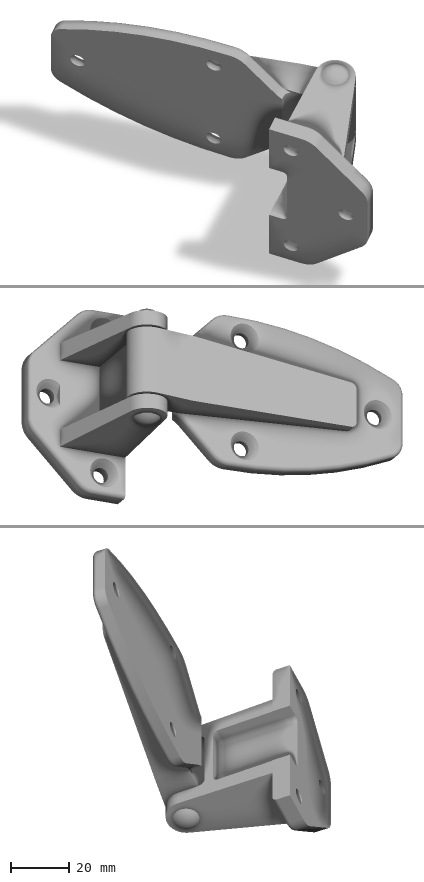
import cadquery as cq
import math


PIN_X = 99.8
PIN_Y = 42.0
PIN_DIAMETER = 6.4
KNUCKLE_RADIUS = 7.0
KNUCKLE_TOP_Y = PIN_Y + KNUCKLE_RADIUS
HEAD_RADIUS = 4.6
HEAD_HEIGHT = 2.0
HEAD_SEAT_Z = 19.0

TOP_EDGE_RADIUS = 1.5
SCREW_HOLE_DIAMETER = 5.5
COUNTERSINK_DIAMETER = 10.5
COUNTERSINK_ANGLE = 82

BASE_LEFT_X = 91.8
BASE_RIGHT_X = 128.0
BASE_THICKNESS = 6.4
BASE_HALF_HEIGHT = 33.98
BASE_BEVEL = 21.1
BASE_CORNER_RADIUS = 8.0
BASE_HOLES = [(PIN_X, 26.0), (PIN_X, -26.0), (120.0, 0)]

ARM_FOOT_X = 116.5
ARM_FOOT_HALF_WIDTH = 19.3
ARM_TIP_HALF_WIDTH = 18.0
ARM_INNER_HALF_GAP = 12.8
WEB_TOP_Y = 32.0
SLOT_CORNER_RADIUS = 2.5
POCKET_FLOOR_X = 98.4
WEB_WALL = 3.1
POCKET_TOP_Y = WEB_TOP_Y - WEB_WALL
POCKET_EDGE_RADIUS = 1.9

LEAF_THICKNESS = 5.0
LEAF_TOP_Y = PIN_Y - KNUCKLE_RADIUS
LEAF_BOTTOM_Y = LEAF_TOP_Y - LEAF_THICKNESS
LEAF_SIDE_RADIUS = 143.3
LEAF_WIDEST_X = 64.0
LEAF_HALF_HEIGHT = 27.8
LEAF_SHOULDER_X = 69.1
LEAF_PLATE_END_X = 85.0
LEAF_TIP_RADIUS = 6.0
LEAF_CORNER_RADIUS = 7.9
LEAF_HOLES = [(9.9, 0), (59.9, 20.0), (59.9, -20.0)]

NECK_HALF_WIDTH = 12.0
NECK_FILLET_RADIUS = 4.0
NECK_FILLET_END_X = LEAF_PLATE_END_X + NECK_FILLET_RADIUS
RIB_TIP_X = 19.7
RIB_TIP_Y = 39.2
RIB_TIP_HALF_WIDTH = 8.0
RIB_TIP_RADIUS = 2.2


def knuckle_point(angle):
    """Point on the knuckle circle at an angle in radians from +X."""
    return PIN_X + KNUCKLE_RADIUS * math.cos(angle), PIN_Y + KNUCKLE_RADIUS * math.sin(angle)


def tangent_angle(x, y, side):
    """Angle on the knuckle circle where a line from (x, y) touches it; side is +1 or -1."""
    bearing = math.atan2(y - PIN_Y, x - PIN_X)
    distance = math.hypot(x - PIN_X, y - PIN_Y)
    return bearing + side * math.acos(KNUCKLE_RADIUS / distance)


def plate_plane(y):
    """Plane facing +Y at height y, with local coordinates (X, -Z)."""
    return cq.Workplane(cq.Plane(origin=(0, y, 0), xDir=(1, 0, 0), normal=(0, 1, 0)))


def z_cylinder(diameter, half_length):
    """Cylinder on the pin axis."""
    return cq.Workplane("XY").center(PIN_X, PIN_Y).circle(diameter / 2).extrude(half_length, both=True)


def drill_screw_holes(plate, positions, top_y):
    """Screw holes through a plate, countersunk from its +Y face."""
    return (
        plate.copyWorkplane(plate_plane(top_y))
        .pushPoints(positions)
        .cskHole(SCREW_HOLE_DIAMETER, COUNTERSINK_DIAMETER, COUNTERSINK_ANGLE)
    )


def make_base_plate():
    bevel_x = BASE_RIGHT_X - BASE_BEVEL
    bevel_z = BASE_HALF_HEIGHT - BASE_BEVEL
    outline = [
        (BASE_LEFT_X, -BASE_HALF_HEIGHT),
        (bevel_x, -BASE_HALF_HEIGHT),
        (BASE_RIGHT_X, -bevel_z),
        (BASE_RIGHT_X, bevel_z),
        (bevel_x, BASE_HALF_HEIGHT),
        (BASE_LEFT_X, BASE_HALF_HEIGHT),
    ]
    plate = plate_plane(0).polyline(outline).close().extrude(BASE_THICKNESS)
    plate = plate.edges("|Y").edges("not <X").fillet(BASE_CORNER_RADIUS)
    plate = plate.faces(">Y").edges("not <X").fillet(TOP_EDGE_RADIUS)
    return drill_screw_holes(plate, BASE_HOLES, BASE_THICKNESS)


def make_arm_block():
    """Both arms and the web as one block, narrowing towards the pin in X and in Z."""
    left_angle = tangent_angle(BASE_LEFT_X, 0, -1)
    right_angle = tangent_angle(ARM_FOOT_X, BASE_THICKNESS, 1)
    side = (
        cq.Workplane("XY")
        .moveTo(BASE_LEFT_X, 0)
        .lineTo(*knuckle_point(left_angle))
        .threePointArc(knuckle_point(math.pi / 2), knuckle_point(right_angle))
        .lineTo(ARM_FOOT_X, BASE_THICKNESS)
        .lineTo(ARM_FOOT_X, 0)
        .close()
        .extrude(ARM_FOOT_HALF_WIDTH, both=True)
    )
    draft = (
        cq.Workplane("YZ", origin=(BASE_LEFT_X, 0, 0))
        .polyline([
            (0, -ARM_FOOT_HALF_WIDTH),
            (KNUCKLE_TOP_Y, -ARM_TIP_HALF_WIDTH),
            (KNUCKLE_TOP_Y, ARM_TIP_HALF_WIDTH),
            (0, ARM_FOOT_HALF_WIDTH),
        ])
        .close()
        .extrude(ARM_FOOT_X - BASE_LEFT_X)
    )
    return side.intersect(draft)


def make_gap_box(left_x, right_x, bottom_y, top_y):
    """Box that spans the gap between the arms in Z."""
    box = cq.Workplane("XY").box(
        right_x - left_x, top_y - bottom_y, 2 * ARM_INNER_HALF_GAP, centered=(False, False, True)
    )
    return box.translate((left_x, bottom_y, 0))


def make_knuckle_slot():
    """Space between the arms, above the web."""
    slot = make_gap_box(BASE_LEFT_X, ARM_FOOT_X, WEB_TOP_Y, KNUCKLE_TOP_Y)
    return slot.edges("|X and <Y").fillet(SLOT_CORNER_RADIUS)


def make_back_recess():
    """Space between the arms behind the web, which clears the screw at the +X end."""
    return make_gap_box(POCKET_FLOOR_X + WEB_WALL, ARM_FOOT_X, BASE_THICKNESS, KNUCKLE_TOP_Y)


def make_pocket():
    """Rounded recess in the web, open towards -X and -Y."""
    pocket = make_gap_box(BASE_LEFT_X, POCKET_FLOOR_X, 0, POCKET_TOP_Y)
    return pocket.edges("(|X and >Y) or (>X and (not <Y))").fillet(POCKET_EDGE_RADIUS)


def make_bracket():
    arms = make_arm_block().cut(make_knuckle_slot()).cut(make_back_recess())
    bracket = make_base_plate().union(arms).cut(make_pocket())
    return bracket.cut(z_cylinder(PIN_DIAMETER, ARM_FOOT_HALF_WIDTH))


def make_leaf_plate():
    arc_center_z = LEAF_HALF_HEIGHT - LEAF_SIDE_RADIUS

    def side_z(x):
        return arc_center_z + math.sqrt(LEAF_SIDE_RADIUS**2 - (x - LEAF_WIDEST_X) ** 2)

    middle_x = LEAF_SHOULDER_X / 2
    plate = (
        plate_plane(LEAF_BOTTOM_Y)
        .moveTo(0, -side_z(0))
        .lineTo(0, side_z(0))
        .threePointArc((middle_x, side_z(middle_x)), (LEAF_SHOULDER_X, side_z(LEAF_SHOULDER_X)))
        .lineTo(LEAF_PLATE_END_X, NECK_HALF_WIDTH)
        .lineTo(NECK_FILLET_END_X, NECK_HALF_WIDTH)
        .lineTo(NECK_FILLET_END_X, -NECK_HALF_WIDTH)
        .lineTo(LEAF_PLATE_END_X, -NECK_HALF_WIDTH)
        .lineTo(LEAF_SHOULDER_X, -side_z(LEAF_SHOULDER_X))
        .threePointArc((middle_x, -side_z(middle_x)), (0, -side_z(0)))
        .close()
        .extrude(LEAF_THICKNESS)
    )
    plate = plate.edges("|Y and <X").fillet(LEAF_TIP_RADIUS)
    plate = plate.edges("|Y").edges("not(<X or >X)").edges("not <X").fillet(LEAF_CORNER_RADIUS)
    plate = plate.faces(">Y").edges("not >X").fillet(TOP_EDGE_RADIUS)
    return drill_screw_holes(plate, LEAF_HOLES, LEAF_TOP_Y)


def make_neck_relief():
    """Waste below the neck, which leaves a concave fillet at the end of the leaf plate."""
    arc_y = LEAF_TOP_Y - NECK_FILLET_RADIUS
    diagonal = NECK_FILLET_RADIUS * math.sqrt(0.5)
    return (
        cq.Workplane("XY")
        .moveTo(LEAF_PLATE_END_X, LEAF_BOTTOM_Y)
        .lineTo(LEAF_PLATE_END_X, arc_y)
        .threePointArc(
            (NECK_FILLET_END_X - diagonal, arc_y + diagonal),
            (NECK_FILLET_END_X, LEAF_TOP_Y),
        )
        .lineTo(NECK_FILLET_END_X, LEAF_BOTTOM_Y)
        .close()
        .extrude(LEAF_HALF_HEIGHT, both=True)
    )


def make_rib():
    """Rib that rises and widens from its tip to the knuckle."""
    top_angle = tangent_angle(RIB_TIP_X, RIB_TIP_Y, -1)
    side = (
        cq.Workplane("XY")
        .moveTo(RIB_TIP_X, LEAF_TOP_Y)
        .lineTo(RIB_TIP_X, RIB_TIP_Y)
        .lineTo(*knuckle_point(top_angle))
        .threePointArc(knuckle_point(0), knuckle_point(-math.pi / 2))
        .close()
        .extrude(NECK_HALF_WIDTH, both=True)
    )
    knuckle_end_x = PIN_X + KNUCKLE_RADIUS
    plan = (
        plate_plane(LEAF_TOP_Y)
        .polyline([
            (RIB_TIP_X, -RIB_TIP_HALF_WIDTH),
            (LEAF_PLATE_END_X, -NECK_HALF_WIDTH),
            (knuckle_end_x, -NECK_HALF_WIDTH),
            (knuckle_end_x, NECK_HALF_WIDTH),
            (LEAF_PLATE_END_X, NECK_HALF_WIDTH),
            (RIB_TIP_X, RIB_TIP_HALF_WIDTH),
        ])
        .close()
        .extrude(2 * KNUCKLE_RADIUS)
        .edges("|Y and <X")
        .fillet(RIB_TIP_RADIUS)
    )
    return side.intersect(plan)


def make_leaf():
    leaf = make_leaf_plate().cut(make_neck_relief()).union(make_rib())
    return leaf.cut(z_cylinder(PIN_DIAMETER, NECK_HALF_WIDTH))


def make_pin():
    """Shaft with a domed head at each end, revolved about the pin axis."""
    shaft_radius = PIN_DIAMETER / 2
    head_top_z = HEAD_SEAT_Z + HEAD_HEIGHT
    dome_radius = (HEAD_RADIUS**2 + HEAD_HEIGHT**2) / (2 * HEAD_HEIGHT)
    dome_center_z = head_top_z - dome_radius
    half_sweep = math.asin(HEAD_RADIUS / dome_radius) / 2
    dome_middle_r = dome_radius * math.sin(half_sweep)
    dome_middle_z = dome_center_z + dome_radius * math.cos(half_sweep)
    return (
        cq.Workplane("XZ", origin=(PIN_X, PIN_Y, 0))
        .moveTo(0, -head_top_z)
        .threePointArc((dome_middle_r, -dome_middle_z), (HEAD_RADIUS, -HEAD_SEAT_Z))
        .lineTo(shaft_radius, -HEAD_SEAT_Z)
        .lineTo(shaft_radius, HEAD_SEAT_Z)
        .lineTo(HEAD_RADIUS, HEAD_SEAT_Z)
        .threePointArc((dome_middle_r, dome_middle_z), (0, head_top_z))
        .close()
        .revolve(360, (0, 0, 0), (0, 1, 0))
    )


bracket = make_bracket()
leaf = make_leaf()
pin = make_pin()

result = cq.Compound.makeCompound([bracket.val(), leaf.val(), pin.val()])